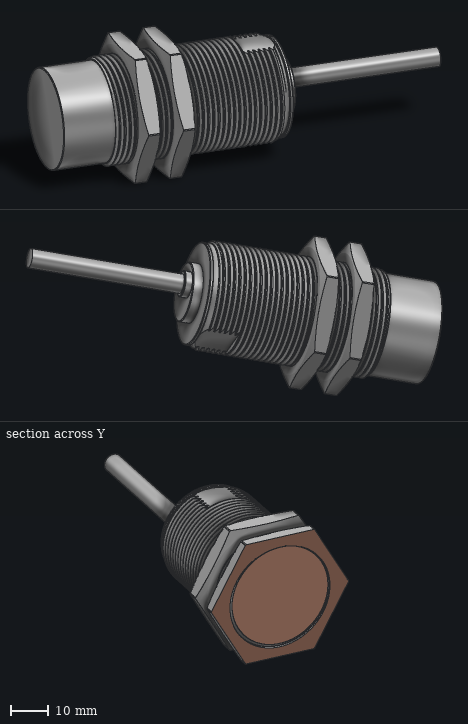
import cadquery as cq
import math


total_length = 114.0
thread_start = 14.8
flat_start = 55.0
thread_end = 65.0
cover_end = 66.0
disc_end = 68.9
gland_end = 70.9

cap_diameter = 28.0
cover_diameter = 28.0
disc_diameter = 16.3
gland_diameter = 7.2
cable_diameter = 5.4
cable_offset = -4.0
edge_chamfer = 0.2

thread_diameter = 30.0
thread_pitch = thread_diameter / 20
thread_depth = 0.85
groove_start = 13.2
crest_width = thread_pitch / 8
flank_angle = 30.0
groove_overrun = 0.06
front_lead_radius = 14.4
front_lead_length = 0.7
rear_lead_radius = 13.5
rear_lead_length = 2.3
flat_spacing = 26.8

nut_across_flats = 36.0
nut_corner_diameter = 41.4
nut_thickness = 5.0
nut_face_diameter = 35.0
nut_chamfer_angle = 15.0
nut_count = 2
first_nut_front = 21.0
nut_spacing = 10.0

thread_radius = thread_diameter / 2
root_radius = thread_radius - thread_depth


def cylinder_y(diameter, start, end, x=0.0):
    """Cylinder along Y between two Y positions, its axis shifted along X."""
    return cq.Workplane("XZ", origin=(x, start, 0)).circle(diameter / 2).extrude(start - end)


def chamfered(cylinder, faces):
    """Chamfers the rim of the selected end faces."""
    return cylinder.faces(faces).edges().chamfer(edge_chamfer)


def revolve_y(points):
    """Solid of revolution about Y from (radius, Y) points."""
    return cq.Workplane("XY").polyline(points).close().revolve(360, (0, 0, 0), (0, 1, 0))


def sensor_blank():
    """Whole sensor before its thread is cut, with a lead-in cone at each end of the barrel."""
    barrel = revolve_y([
        (0, thread_start),
        (front_lead_radius, thread_start),
        (thread_radius, thread_start + front_lead_length),
        (thread_radius, thread_end - rear_lead_length),
        (rear_lead_radius, thread_end),
        (0, thread_end),
    ])
    cap = chamfered(cylinder_y(cap_diameter, 0, thread_start), "<Y")
    cover = chamfered(cylinder_y(cover_diameter, thread_end, cover_end), "<Y or >Y")
    disc = chamfered(cylinder_y(disc_diameter, cover_end, disc_end), ">Y")
    gland = chamfered(cylinder_y(gland_diameter, disc_end, gland_end, cable_offset), ">Y")
    cable = cylinder_y(cable_diameter, gland_end, total_length, cable_offset)
    barrel = barrel.cut(flat_cutters())
    return barrel.union(cap).union(cover).union(disc).union(gland).union(cable)


def flat_cutters():
    """Two blocks that leave a wrench flat above and below the rear of the barrel."""
    block = (
        cq.Workplane("XY")
        .box(thread_diameter, thread_end - flat_start, thread_radius, centered=(True, False, False))
        .translate((0, flat_start, flat_spacing / 2))
    )
    return block.union(block.mirror("XY"))


def groove_profile():
    """Trapezoid of the groove as (radius, axial position) corners."""
    flank_slope = math.tan(math.radians(flank_angle))
    half_mouth = (thread_pitch - crest_width) / 2
    half_root = half_mouth - thread_depth * flank_slope
    half_outer = half_mouth + groove_overrun * flank_slope
    outer_radius = thread_radius + groove_overrun
    return [
        (root_radius, -half_root),
        (outer_radius, -half_outer),
        (outer_radius, half_outer),
        (root_radius, half_root),
    ]


def groove_end(height):
    """Flat face that closes the groove at a height along its helix axis."""
    corners = [cq.Vector(radius, 0, height + axial) for radius, axial in groove_profile()]
    return cq.Face.makeFromWires(cq.Wire.makePolygon(corners, close=True))


def groove_turn(height):
    """The four helical faces of one turn of the groove, starting at a height."""
    helices = [
        cq.Wire.makeHelix(thread_pitch, thread_pitch, radius).translate((0, 0, height + axial)).Edges()[0]
        for radius, axial in groove_profile()
    ]
    following = helices[1:] + helices[:1]
    return [cq.Face.makeRuledSurface(first, second) for first, second in zip(helices, following)]


def thread_groove():
    """Right-handed helical groove that runs past both ends of the threaded length."""
    turns = math.ceil((thread_end - groove_start) / thread_pitch) + 1
    faces = [groove_end(0), groove_end(turns * thread_pitch)]
    for turn in range(turns):
        faces.extend(groove_turn(turn * thread_pitch))
    groove = cq.Workplane(cq.Solid.makeSolid(cq.Shell.makeShell(faces)))
    return groove.rotate((0, 0, 0), (1, 0, 0), -90).translate((0, groove_start, 0))


def make_sensor():
    return sensor_blank().cut(thread_groove())


def make_nut(front):
    """Hexagonal nut, chamfered on both faces, bored to the thread's outer diameter."""
    back = front + nut_thickness
    corner_radius = nut_corner_diameter / 2
    face_radius = nut_face_diameter / 2
    chamfer_height = (corner_radius - face_radius) * math.tan(math.radians(nut_chamfer_angle))
    half_corner_angle = 30
    hexagon = (
        cq.Workplane("XZ", origin=(0, front, 0))
        .polygon(6, nut_across_flats, circumscribed=True)
        .extrude(-nut_thickness)
        .rotate((0, 0, 0), (0, 1, 0), half_corner_angle)
    )
    turned_blank = revolve_y([
        (0, front),
        (face_radius, front),
        (corner_radius, front + chamfer_height),
        (corner_radius, back - chamfer_height),
        (face_radius, back),
        (0, back),
    ])
    bore = cylinder_y(thread_diameter, front, back)
    return hexagon.intersect(turned_blank).cut(bore)


sensor = make_sensor()
nuts = [make_nut(first_nut_front + index * nut_spacing) for index in range(nut_count)]

result = cq.Compound.makeCompound([sensor.val(), *[nut.val() for nut in nuts]])